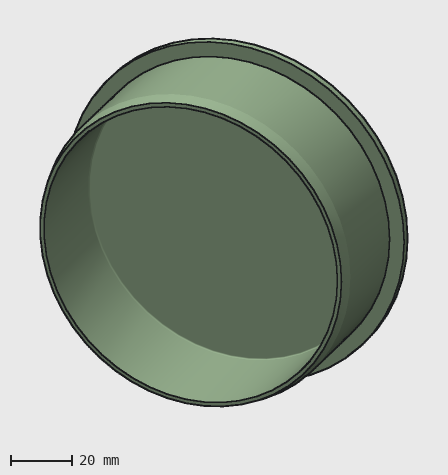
import cadquery as cq

flange_diameter = 120.4
flange_thickness = 3.0
total_depth = 40.0
body_diameter = 110.0
bore_diameter = 104.7
floor_thickness = 3.0
lead_in_length = 4.6
lead_in_inset = 1.2
floor_fillet = 0.5

flange_radius = flange_diameter / 2
body_radius = body_diameter / 2
bore_radius = bore_diameter / 2
tip_radius = body_radius - lead_in_inset

rim_y = -total_depth

outer_profile = (
    cq.Workplane("XY")
    .moveTo(0, 0)
    .lineTo(flange_radius, 0)
    .lineTo(flange_radius, -flange_thickness)
    .lineTo(body_radius, -flange_thickness)
    .lineTo(body_radius, rim_y + lead_in_length)
    .lineTo(tip_radius, rim_y)
    .lineTo(0, rim_y)
    .close()
)
cap = outer_profile.revolve(360, (0, 0, 0), (0, 1, 0))

bore = (
    cq.Workplane("XZ", origin=(0, -floor_thickness, 0))
    .circle(bore_radius)
    .extrude(total_depth - floor_thickness)
    .faces(">Y")
    .edges()
    .fillet(floor_fillet)
)

result = cap.cut(bore)